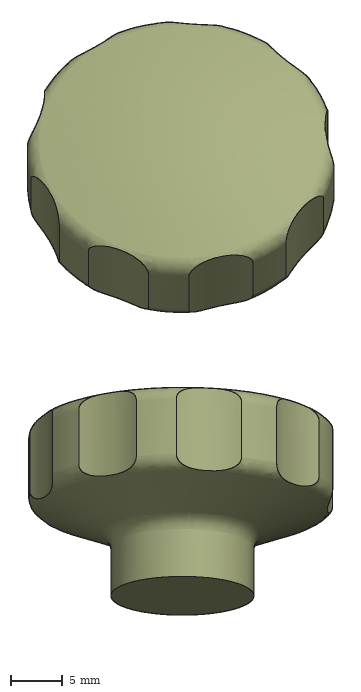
import cadquery as cq
import math

total_height = 19.0
stem_radius = 7.0
grip_diameter = 30.0
grip_radius = grip_diameter / 2
blend_radius = 1.5
cone_bottom_z = 5.8
cone_top_z = 9.1
dome_radius = 54.25
scallop_count = 9
scallop_radius = 10.0
scallop_floor_radius = 14.12
first_scallop_angle = -90.0


def dome_height(radius):
    """Height of the spherical top at a distance from the knob axis."""
    drop = dome_radius - math.sqrt(dome_radius**2 - radius**2)
    return total_height - drop


def make_body():
    """Revolve stem, cone, grip and dome, then round the three corners."""
    half_grip = grip_radius / 2
    body = (
        cq.Workplane("XZ")
        .lineTo(stem_radius, 0)
        .lineTo(stem_radius, cone_bottom_z)
        .lineTo(grip_radius, cone_top_z)
        .lineTo(grip_radius, dome_height(grip_radius))
        .threePointArc((half_grip, dome_height(half_grip)), (0, total_height))
        .close()
        .revolve(360, (0, 0), (0, 1))
    )
    for corner_radius, corner_z in (
        (stem_radius, cone_bottom_z),
        (grip_radius, cone_top_z),
        (grip_radius, dome_height(grip_radius)),
    ):
        corner = cq.selectors.NearestToPointSelector((0, 0, corner_z))
        body = body.edges("%CIRCLE").edges(corner).fillet(blend_radius)
    return body


def make_scallop_cutters():
    """Upright cylinders spaced evenly around the grip."""
    return (
        cq.Workplane("XY")
        .polarArray(scallop_floor_radius + scallop_radius, first_scallop_angle, 360, scallop_count)
        .circle(scallop_radius)
        .extrude(total_height, combine=False)
    )


result = make_body()
for cutter in make_scallop_cutters().vals():
    result = result.cut(cq.Workplane(cutter))